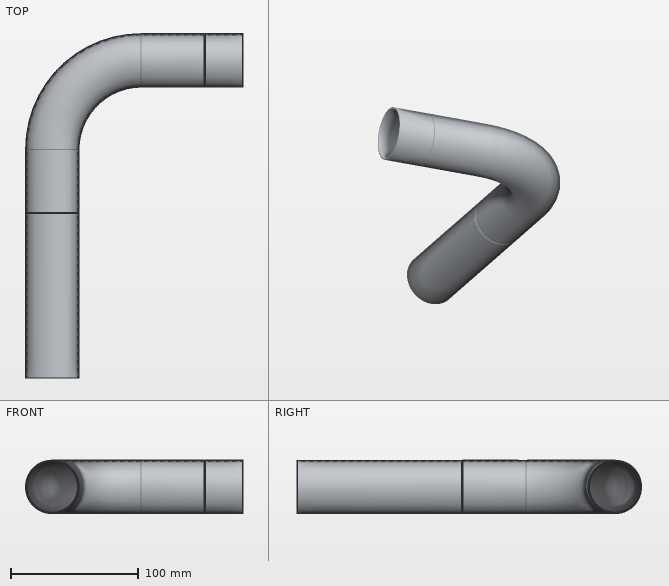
import cadquery as cq

outer_diameter = 42.0
bore_diameter = 40.0
bend_radius = 70.0
bend_angle = 90.0
x_leg_length = 80.0
y_leg_length = 180.0

joint_distance = 50.0
joint_chamfer = 0.5

y_leg_bend_end = cq.Vector(0, -bend_radius, 0)
x_leg_bend_end = cq.Vector(bend_radius, 0, 0)
y_leg_direction = cq.Vector(0, -1, 0)
x_leg_direction = cq.Vector(1, 0, 0)


def straight_rod(start, direction, length, diameter):
    """Solid cylinder running from start along direction."""
    return cq.Workplane(cq.Solid.makeCylinder(diameter / 2, length, start, direction))


def bend_rod(diameter):
    """Solid quarter bend joining the two legs."""
    axis_start = (bend_radius, 0)
    axis_end = (bend_radius, -1)
    return (
        cq.Workplane("XZ", origin=y_leg_bend_end.toTuple())
        .circle(diameter / 2)
        .revolve(bend_angle, axis_start, axis_end)
    )


def bent_rod(diameter):
    """Solid rod following the whole centreline."""
    y_leg = straight_rod(y_leg_bend_end, y_leg_direction, y_leg_length, diameter)
    x_leg = straight_rod(x_leg_bend_end, x_leg_direction, x_leg_length, diameter)
    return bend_rod(diameter).union(y_leg).union(x_leg)


def chamfered_end(joint, direction):
    """Cone that widens from the groove bottom to the tube surface along direction."""
    outer_radius = outer_diameter / 2
    bottom_radius = outer_radius - joint_chamfer
    return cq.Solid.makeCone(bottom_radius, outer_radius, joint_chamfer, joint, direction)


def joint_groove(bend_end, direction):
    """Ring of triangular section to remove from the outside of a leg."""
    joint = bend_end + direction * joint_distance
    ring_start = joint - direction * joint_chamfer
    ring = straight_rod(ring_start, direction, 2 * joint_chamfer, outer_diameter)
    for side in (direction, -direction):
        ring = ring.cut(cq.Workplane(chamfered_end(joint, side)))
    return ring


result = (
    bent_rod(outer_diameter)
    .cut(bent_rod(bore_diameter))
    .cut(joint_groove(y_leg_bend_end, y_leg_direction))
    .cut(joint_groove(x_leg_bend_end, x_leg_direction))
)